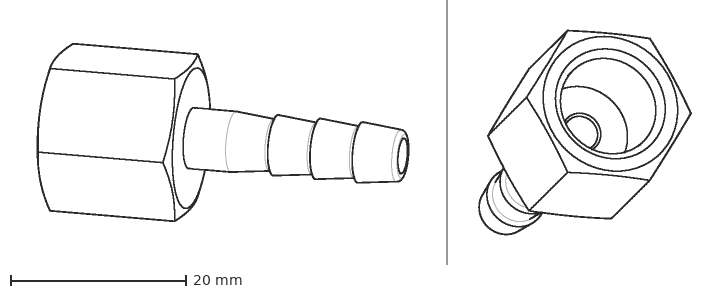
import cadquery as cq
import math

total_length = 41.0

stem_radius = 3.5
barb_root_radius = 3.0
barb_count = 4
barb_pitch = 5.0
barbs_start = total_length - barb_count * barb_pitch
groove_radius = stem_radius - barb_root_radius
flange_radius = 5.5
flange_thickness = 2.0
channel_radius = 2.0
channel_mouth_radius = 2.3
channel_chamfer = channel_mouth_radius - channel_radius

nut_length = 16.0
across_flats = 17.0
corner_radius = across_flats / math.sqrt(3)
face_circle_radius = 8.05
crown_chamfer_length = 0.6
bore_radius = 5.7
bore_mouth_radius = 6.55
bore_chamfer = bore_mouth_radius - bore_radius
nut_floor_thickness = 3.0
nut_floor_x = nut_length - nut_floor_thickness

flange_face_x = nut_floor_x - flange_thickness


def revolve_about_x(profile):
    return profile.close().revolve(360, (0, 0, 0), (1, 0, 0))


def make_nut():
    hexagon = cq.Workplane("YZ").polygon(6, 2 * corner_radius).extrude(nut_length)
    crown = revolve_about_x(
        cq.Workplane("XY")
        .lineTo(0, face_circle_radius)
        .lineTo(crown_chamfer_length, corner_radius)
        .lineTo(nut_length - crown_chamfer_length, corner_radius)
        .lineTo(nut_length, face_circle_radius)
        .lineTo(nut_length, 0)
    )
    opening = revolve_about_x(
        cq.Workplane("XY")
        .lineTo(0, bore_mouth_radius)
        .lineTo(bore_chamfer, bore_radius)
        .lineTo(nut_floor_x, bore_radius)
        .lineTo(nut_floor_x, stem_radius)
        .lineTo(nut_length, stem_radius)
        .lineTo(nut_length, 0)
    )
    return hexagon.intersect(crown).cut(opening)


def add_barbs(profile):
    """Extend the nozzle profile from the stem to the end face of the tip."""
    arc_shift = groove_radius * math.sqrt(0.5)
    for index in range(1, barb_count + 1):
        crest_x = barbs_start + index * barb_pitch
        root_x = crest_x - groove_radius
        profile = profile.lineTo(root_x, barb_root_radius)
        if index < barb_count:
            profile = profile.threePointArc(
                (root_x + arc_shift, stem_radius - arc_shift),
                (crest_x, stem_radius),
            )
        else:
            tip_face_radius = barb_root_radius - groove_radius
            profile = profile.threePointArc(
                (root_x + arc_shift, tip_face_radius + arc_shift),
                (crest_x, tip_face_radius),
            )
    return profile


def make_nozzle():
    profile = (
        cq.Workplane("XY")
        .moveTo(flange_face_x, channel_mouth_radius)
        .lineTo(flange_face_x, flange_radius)
        .lineTo(nut_floor_x, flange_radius)
        .lineTo(nut_floor_x, stem_radius)
        .lineTo(barbs_start, stem_radius)
    )
    profile = (
        add_barbs(profile)
        .lineTo(total_length, channel_radius)
        .lineTo(flange_face_x + channel_chamfer, channel_radius)
    )
    return revolve_about_x(profile)


nut = make_nut()
nozzle = make_nozzle()

result = cq.Compound.makeCompound([nut.val(), nozzle.val()])